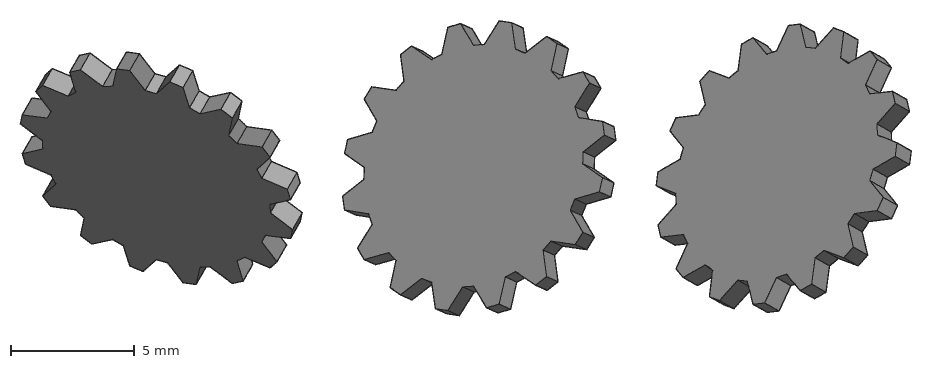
import cadquery as cq
import math

outer_size = 11.94
thickness = 1.0
root_radius = 5.0
tooth_count = 16

quarter_pitch = 360.0 / tooth_count / 4

tip_radius = outer_size / 2 / math.cos(math.radians(quarter_pitch))


def polar_point(radius, angle):
    """Point at an angle in degrees, measured from +Z toward +X."""
    turn = math.radians(angle)
    return (radius * math.sin(turn), radius * math.cos(turn))


def tooth_points(start_angle):
    """Root corner, two tip corners and root corner of one tooth."""
    radii = (root_radius, tip_radius, tip_radius, root_radius)
    return [
        polar_point(radius, start_angle + step * quarter_pitch)
        for step, radius in enumerate(radii)
    ]


outline = []
for tooth in range(tooth_count):
    outline += tooth_points(tooth * 4 * quarter_pitch)

result = cq.Workplane("XZ").polyline(outline).close().extrude(thickness / 2, both=True)